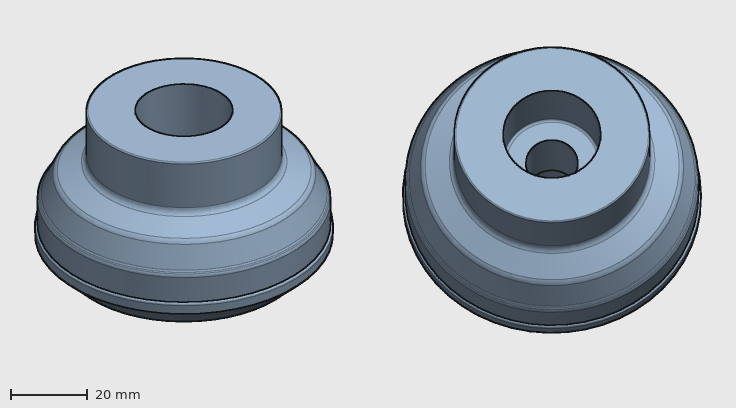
import cadquery as cq

TOTAL_HEIGHT = 45.1
SPLIT_HEIGHT = 10.1

FOOT_RADIUS = 38.85
FOOT_BOTTOM_RADIUS = 31.9
RIM_BOTTOM_HEIGHT = 6.85
RIM_ROUND = 0.6

BAND_RADIUS = 76.5 / 2
BAND_TOP_HEIGHT = 18.3
BAND_BEVEL = 0.85
SHOULDER_RADIUS = 33.9
SHOULDER_HEIGHT = 26.3
NECK_RADIUS = 51.0 / 2
NECK_BASE_HEIGHT = 29.85

BAND_ROUND = 1.25
BEVEL_ROUND = 1.9
SHOULDER_ROUND = 2.3
NECK_BASE_ROUND = 2.1
NECK_TOP_ROUND = 0.4

HOLE_RADIUS = 13.5 / 2
COUNTERBORE_RADIUS = 25.4 / 2
COUNTERBORE_DEPTH = 17.1
COUNTERBORE_ROUND = 0.7


def round_circle(body, radius, height, size):
    """Round the circular edge that has the given radius and height."""
    tolerance = 0.01
    reach = radius + tolerance
    box = cq.selectors.BoxSelector(
        (-reach, -reach, height - tolerance),
        (reach, reach, height + tolerance),
        boundingbox=True,
    )
    rim = body.edges(box).edges(cq.selectors.RadiusNthSelector(-1))
    return rim.fillet(size)


def make_foot():
    """Base ring: a cone that widens to the rim, with the through hole."""
    return (
        cq.Workplane("XZ")
        .moveTo(HOLE_RADIUS, 0)
        .lineTo(FOOT_BOTTOM_RADIUS, 0)
        .lineTo(FOOT_RADIUS, RIM_BOTTOM_HEIGHT)
        .lineTo(FOOT_RADIUS, SPLIT_HEIGHT - RIM_ROUND)
        .radiusArc((FOOT_RADIUS - RIM_ROUND, SPLIT_HEIGHT), -RIM_ROUND)
        .lineTo(HOLE_RADIUS, SPLIT_HEIGHT)
        .close()
        .revolve(360, (0, 0, 0), (0, 1, 0))
    )


def make_housing():
    """Stepped, conical housing with a counterbored through hole."""
    bevel_radius = BAND_RADIUS - BAND_BEVEL
    bevel_height = BAND_TOP_HEIGHT + BAND_BEVEL
    counterbore_floor = TOTAL_HEIGHT - COUNTERBORE_DEPTH
    profile = [
        (HOLE_RADIUS, SPLIT_HEIGHT),
        (BAND_RADIUS, SPLIT_HEIGHT),
        (BAND_RADIUS, BAND_TOP_HEIGHT),
        (bevel_radius, bevel_height),
        (SHOULDER_RADIUS, SHOULDER_HEIGHT),
        (NECK_RADIUS, NECK_BASE_HEIGHT),
        (NECK_RADIUS, TOTAL_HEIGHT),
        (COUNTERBORE_RADIUS, TOTAL_HEIGHT),
        (COUNTERBORE_RADIUS, counterbore_floor),
        (HOLE_RADIUS, counterbore_floor),
    ]
    body = cq.Workplane("XZ").polyline(profile).close().revolve(360, (0, 0, 0), (0, 1, 0))

    rounds = [
        (BAND_RADIUS, BAND_TOP_HEIGHT, BAND_ROUND),
        (bevel_radius, bevel_height, BEVEL_ROUND),
        (SHOULDER_RADIUS, SHOULDER_HEIGHT, SHOULDER_ROUND),
        (NECK_RADIUS, NECK_BASE_HEIGHT, NECK_BASE_ROUND),
        (NECK_RADIUS, TOTAL_HEIGHT, NECK_TOP_ROUND),
        (COUNTERBORE_RADIUS, counterbore_floor, COUNTERBORE_ROUND),
    ]
    for radius, height, size in rounds:
        body = round_circle(body, radius, height, size)
    return body


foot = make_foot()
housing = make_housing()

result = cq.Compound.makeCompound([foot.val(), *housing.solids().vals()])